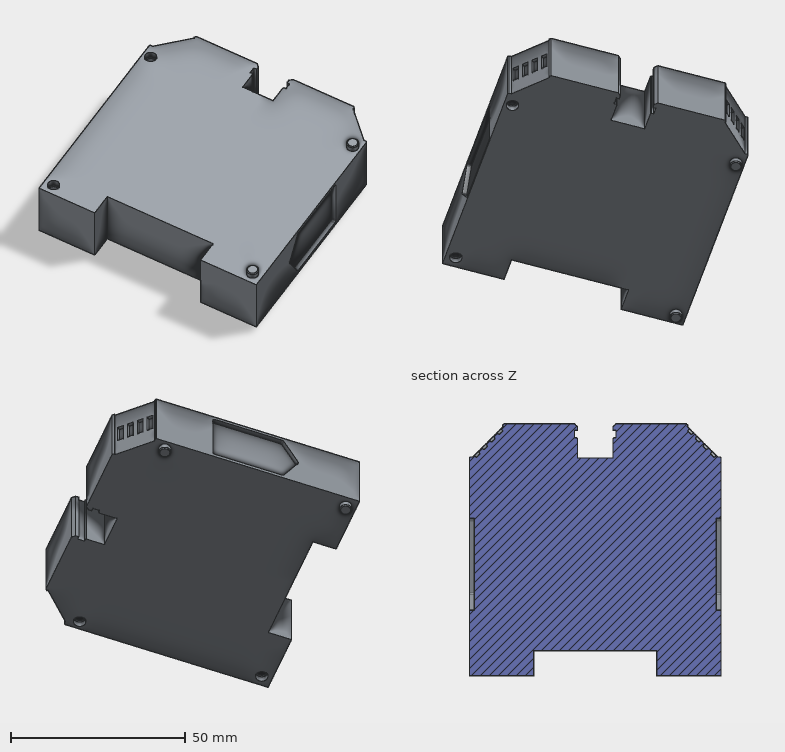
import cadquery as cq

width = 72.3
length = 72.35
thickness = 18.6
half_width = width / 2
half_length = length / 2
half_thickness = thickness / 2

rail_half_width = 17.6
rail_depth = 7.15

corner_x = 10.0
corner_y = 9.8
ledge_rise = 0.28
ledge_length = 0.74
lip_chamfer = 0.5

slot_half_width = 5.05
slot_depth = 9.8
slot_mouth_chamfer = 0.9
groove_depth = 0.9
groove_top = 1.95
groove_bottom = 4.0
groove_chamfer = 0.3

peg_radius = 1.75
peg_height = 1.9
peg_chamfer = 0.3
peg_places = [(33.6, 22.85), (33.1, -33.05)]
socket_radius = 1.75
socket_depth = 2.4
socket_floor_chamfer = 0.3

label_back_y = 9.0
label_shoulder_y = -12.65
label_tip_y = -17.4
label_half_height = 8.2
label_depth = 1.4
label_corner_radius = 0.7

vent_count = 4
vent_row_shift = 0.2
vent_pitch = 3.08
vent_width = 1.75
vent_length = 6.1
vent_depth = 0.8
vent_wall_draft = 15

slope_low = (half_width - ledge_rise - ledge_length, half_length - corner_y + ledge_rise)
lip_tip = (half_width - corner_x + lip_chamfer, half_length - lip_chamfer)
lip_undercut = (sum(lip_tip) - sum(slope_low)) / 2
slope_high = (lip_tip[0] - lip_undercut, lip_tip[1] - lip_undercut)


def half_turn(shape):
    """Copy of a shape turned half a revolution about the Y axis."""
    return shape.rotate((0, 0, 0), (0, 1, 0), 180)


def make_housing():
    groove_x = slot_half_width + groove_depth
    right_side = [
        (slot_half_width, half_length - slot_depth),
        (slot_half_width, half_length - groove_bottom - groove_chamfer),
        (slot_half_width + groove_chamfer, half_length - groove_bottom),
        (groove_x, half_length - groove_bottom),
        (groove_x, half_length - groove_top),
        (slot_half_width, half_length - groove_top),
        (slot_half_width, half_length - slot_mouth_chamfer),
        (slot_half_width + slot_mouth_chamfer, half_length),
        (half_width - corner_x, half_length),
        lip_tip,
        slope_high,
        slope_low,
        (half_width - ledge_rise, slope_low[1]),
        (half_width, half_length - corner_y),
        (half_width, -half_length),
        (rail_half_width, -half_length),
        (rail_half_width, -half_length + rail_depth),
    ]
    left_side = [(-x, y) for x, y in reversed(right_side)]
    outline = cq.Workplane("XY").polyline(right_side + left_side).close()
    return outline.extrude(half_thickness, both=True)


def make_pegs():
    """Chamfered pegs standing on the +Z face."""
    base = cq.Workplane("XY").workplane(offset=half_thickness)
    pegs = base.pushPoints(peg_places).circle(peg_radius).extrude(peg_height)
    return pegs.faces(">Z").edges().chamfer(peg_chamfer)


def make_sockets():
    """Cutters for the sockets in the +Z face, on the side opposite the pegs."""
    places = [(-x, y) for x, y in peg_places]
    base = cq.Workplane("XY").workplane(offset=half_thickness)
    sockets = base.pushPoints(places).circle(socket_radius).extrude(-socket_depth)
    return sockets.faces("<Z").edges().chamfer(socket_floor_chamfer)


def make_label_recess():
    """Cutter for the pointed recess in the +X end face."""
    outline = [
        (label_back_y, -label_half_height),
        (label_back_y, label_half_height),
        (label_shoulder_y, label_half_height),
        (label_tip_y, 0),
        (label_shoulder_y, -label_half_height),
    ]
    base = cq.Workplane("YZ").workplane(offset=half_width)
    recess = base.polyline(outline).close().extrude(-label_depth)
    return recess.edges("|X").fillet(label_corner_radius)


def make_vents():
    """Cutters for the row of vents in the +X slope."""
    middle = ((slope_low[0] + slope_high[0]) / 2, (slope_low[1] + slope_high[1]) / 2, 0)
    slope_plane = cq.Plane(origin=middle, xDir=(-1, 1, 0), normal=(1, 1, 0))
    row = cq.Workplane(slope_plane).center(-vent_row_shift, 0).rarray(vent_pitch, 1, vent_count, 1)
    return row.rect(vent_width, vent_length).extrude(-vent_depth, taper=vent_wall_draft)


cutters = [make_sockets(), make_label_recess(), make_vents()]

result = make_housing()
for cutter in cutters:
    result = result.cut(cutter).cut(half_turn(cutter))
pegs = make_pegs()
result = result.union(pegs).union(half_turn(pegs))